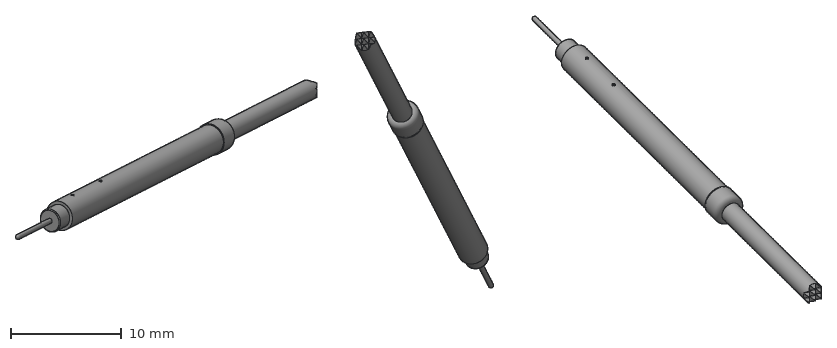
import cadquery as cq
import math


total_length = 48.8
pin_length = 5.5
tail_length = 1.6
barrel_length = 25.0
collar_length = 2.05

pin_diameter = 0.5
tail_diameter = 2.2
barrel_diameter = 2.8
collar_diameter = 3.0
plunger_diameter = 1.9

tail_chamfer = 0.1
collar_fillet = 0.5

points_per_row = 3
point_pitch = plunger_diameter / points_per_row
point_height = 0.55

dimple_diameter = 0.3
dimple_depth = 0.1
dimple_spacing = 4.65
first_dimple_from_barrel_end = 2.15

pin_end = -total_length / 2
tail_start = pin_end + pin_length
barrel_start = tail_start + tail_length
collar_start = barrel_start + barrel_length
collar_end = collar_start + collar_length
tip_end = total_length / 2


def make_body():
    """Revolve the stepped half profile of the whole probe about the Y axis."""
    pin_radius = pin_diameter / 2
    tail_radius = tail_diameter / 2
    barrel_radius = barrel_diameter / 2
    collar_radius = collar_diameter / 2
    plunger_radius = plunger_diameter / 2
    diagonal = math.sqrt(0.5)
    fillet_center_radius = collar_radius - collar_fillet
    fillet_start = collar_end - collar_fillet
    profile = (
        cq.Workplane("XY")
        .moveTo(0, pin_end)
        .threePointArc(
            (pin_radius * diagonal, pin_end + pin_radius * (1 - diagonal)),
            (pin_radius, pin_end + pin_radius),
        )
        .lineTo(pin_radius, tail_start)
        .lineTo(tail_radius - tail_chamfer, tail_start)
        .lineTo(tail_radius, tail_start + tail_chamfer)
        .lineTo(tail_radius, barrel_start)
        .lineTo(barrel_radius, barrel_start)
        .lineTo(barrel_radius, collar_start)
        .lineTo(collar_radius, collar_start)
        .lineTo(collar_radius, fillet_start)
        .threePointArc(
            (
                fillet_center_radius + collar_fillet * diagonal,
                fillet_start + collar_fillet * diagonal,
            ),
            (fillet_center_radius, collar_end),
        )
        .lineTo(plunger_radius, collar_end)
        .lineTo(plunger_radius, tip_end)
        .lineTo(0, tip_end)
        .close()
    )
    return profile.revolve(360, (0, 0), (0, 1))


def make_groove_cutter():
    """Material above a row of V-shaped ridges that run parallel to Z."""
    valley = tip_end - point_height
    above_tip = tip_end + point_height
    half_width = plunger_diameter / 2
    outline = [(-half_width, valley)]
    for point in range(points_per_row):
        valley_before = -half_width + point * point_pitch
        outline.append((valley_before + point_pitch / 2, tip_end))
        outline.append((valley_before + point_pitch, valley))
    outline.append((half_width, above_tip))
    outline.append((-half_width, above_tip))
    return cq.Workplane("XY").polyline(outline).close().extrude(plunger_diameter, both=True)


def cut_serrations(body):
    """Cross two sets of V grooves to leave a grid of points."""
    cutter = make_groove_cutter()
    crossing_cutter = cutter.rotate((0, 0, 0), (0, 1, 0), 90)
    return body.cut(cutter).cut(crossing_cutter)


def cut_dimples(body):
    """Sink two shallow round dimples into the top of the barrel."""
    first_dimple = barrel_start + first_dimple_from_barrel_end
    dimples = (
        cq.Workplane("XY", origin=(0, 0, barrel_diameter / 2 - dimple_depth))
        .pushPoints([(0, first_dimple), (0, first_dimple + dimple_spacing)])
        .circle(dimple_diameter / 2)
        .extrude(2 * dimple_depth)
    )
    return body.cut(dimples)


result = cut_dimples(cut_serrations(make_body()))